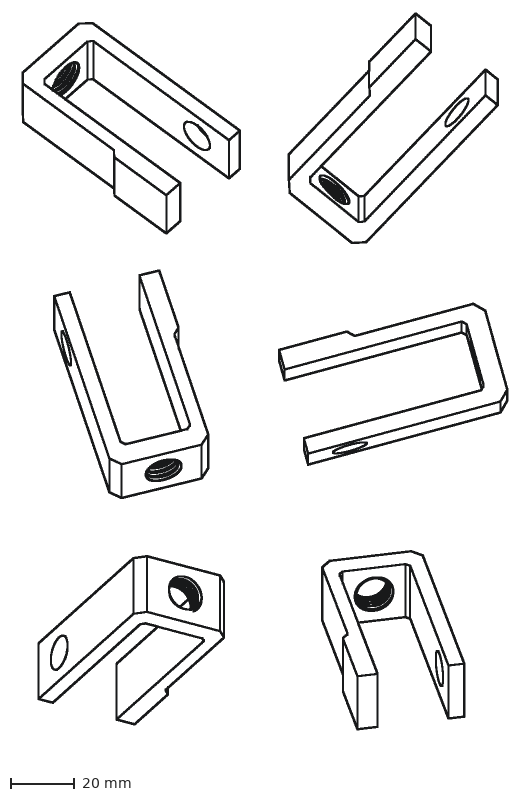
import cadquery as cq
import math

LENGTH = 65.61
HEIGHT = 20.0
BODY_WIDTH = 32.26
WEB_THICKNESS = 6.8
PLAIN_ARM_THICKNESS = 5.1
PADDED_ARM_THICKNESS = 4.5
OUTER_CHAMFER = 3.1
INNER_CHAMFER = 1.25

PAD_START = 41.6
PAD_RISE = 2.0

PIN_HOLE_DIAMETER = 11.0
PIN_HOLE_FROM_END = 13.6

THREAD_CREST_RADIUS = 5.4
THREAD_ROOT_RADIUS = 6.3
THREAD_PITCH = 1.75
THREAD_EXIT_CHAMFER = 0.8
THREAD_ROOT_FLAT = THREAD_PITCH / 8
THREAD_FLANK_ANGLE = 30.0
THREAD_ROOT_AT_FACE = 130.0
CUT_OVERLAP = 0.2

outer_plus_y = BODY_WIDTH / 2
outer_minus_y = -BODY_WIDTH / 2
inner_plus_y = outer_plus_y - PLAIN_ARM_THICKNESS
inner_minus_y = outer_minus_y + PADDED_ARM_THICKNESS
pad_y = outer_minus_y - PAD_RISE
thread_axis_y = (inner_plus_y + inner_minus_y) / 2


def make_body():
    """U-shaped plate with chamfered corners and the pad on the -Y arm."""
    outline = [
        (OUTER_CHAMFER, outer_plus_y),
        (LENGTH, outer_plus_y),
        (LENGTH, inner_plus_y),
        (WEB_THICKNESS + INNER_CHAMFER, inner_plus_y),
        (WEB_THICKNESS, inner_plus_y - INNER_CHAMFER),
        (WEB_THICKNESS, inner_minus_y + INNER_CHAMFER),
        (WEB_THICKNESS + INNER_CHAMFER, inner_minus_y),
        (LENGTH, inner_minus_y),
        (LENGTH, pad_y),
        (PAD_START + PAD_RISE, pad_y),
        (PAD_START, outer_minus_y),
        (OUTER_CHAMFER, outer_minus_y),
        (0, outer_minus_y + OUTER_CHAMFER),
        (0, outer_plus_y - OUTER_CHAMFER),
    ]
    return cq.Workplane("XY").workplane(offset=-HEIGHT / 2).polyline(outline).close().extrude(HEIGHT)


def make_pin_hole():
    """Cylinder along Y crossing the +Y arm only."""
    return (
        cq.Workplane("XZ", origin=(LENGTH - PIN_HOLE_FROM_END, outer_plus_y, 0))
        .circle(PIN_HOLE_DIAMETER / 2)
        .extrude(PLAIN_ARM_THICKNESS)
    )


def make_thread_bore():
    """Cylinder along X through the web at the thread crests."""
    return (
        cq.Workplane("YZ", origin=(0, thread_axis_y, 0))
        .circle(THREAD_CREST_RADIUS)
        .extrude(WEB_THICKNESS)
    )


def make_thread_exit():
    """Conical lead-in where the threaded hole opens between the arms."""
    section = [
        (WEB_THICKNESS, 0),
        (WEB_THICKNESS, THREAD_CREST_RADIUS + THREAD_EXIT_CHAMFER),
        (WEB_THICKNESS - THREAD_EXIT_CHAMFER, THREAD_CREST_RADIUS),
        (WEB_THICKNESS - THREAD_EXIT_CHAMFER, 0),
    ]
    cone = cq.Workplane("XY").polyline(section).close().revolve(360, (0, 0, 0), (1, 0, 0))
    return cone.translate((0, thread_axis_y, 0))


def make_thread_groove():
    """Helical groove of trapezoid section, running out past both faces of the web."""
    turns = math.ceil(WEB_THICKNESS / THREAD_PITCH) + 2
    inner_radius = THREAD_CREST_RADIUS - CUT_OVERLAP
    flank_spread = (THREAD_ROOT_RADIUS - inner_radius) * math.tan(math.radians(THREAD_FLANK_ANGLE))
    root_half = THREAD_ROOT_FLAT / 2
    mouth_half = root_half + flank_spread
    section = [
        (inner_radius, -mouth_half),
        (THREAD_ROOT_RADIUS, -root_half),
        (THREAD_ROOT_RADIUS, root_half),
        (inner_radius, mouth_half),
    ]
    path = cq.Wire.makeHelix(THREAD_PITCH, turns * THREAD_PITCH, inner_radius)
    groove = cq.Workplane("XZ").polyline(section).close().sweep(cq.Workplane(path), isFrenet=True)
    axes = cq.Plane(origin=(-THREAD_PITCH, thread_axis_y, 0), xDir=(0, 1, 0), normal=(1, 0, 0))
    turned = groove.rotate((0, 0, 0), (0, 0, 1), THREAD_ROOT_AT_FACE)
    return cq.Workplane(turned.val().moved(cq.Location(axes)))


result = (
    make_body()
    .cut(make_pin_hole())
    .cut(make_thread_groove())
    .cut(make_thread_bore())
    .cut(make_thread_exit())
)